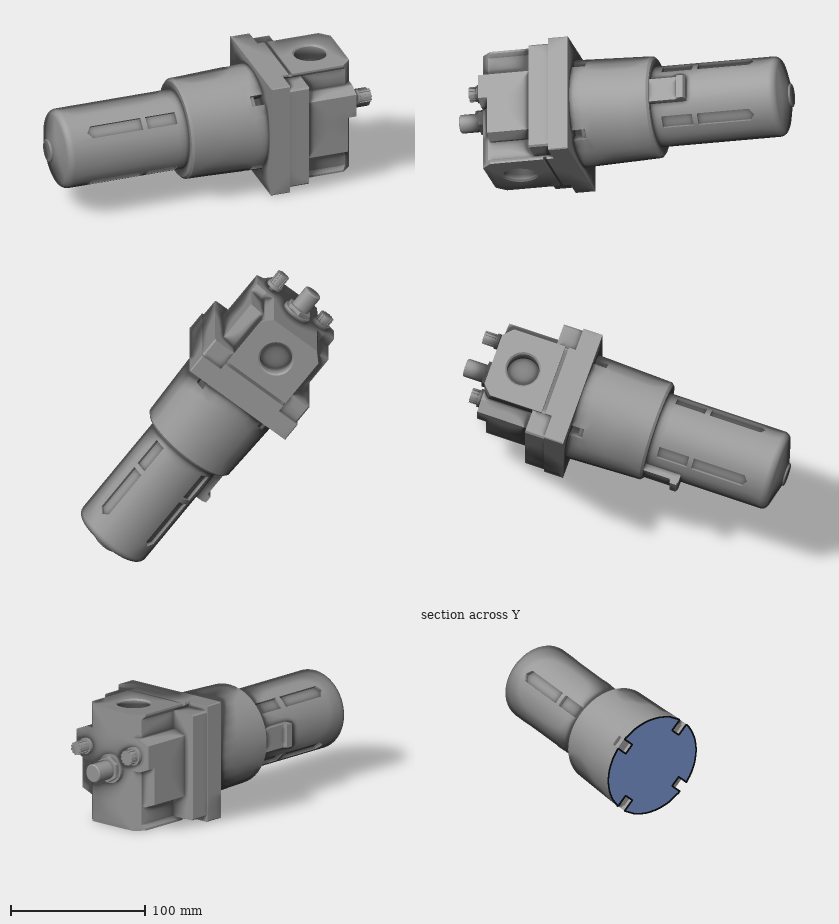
import cadquery as cq
import math


plate_size = 90.0
plate_thickness = 15.0
plate_bevel = 0.8
plate_rim = 0.8
collar_width = 89.0
collar_height = 81.8
collar_back = 30.2
collar_bevel = 1.3

body_back = 70.5
block_half_width = 25.0
lip_half_width = 27.2
lip_flare_height = 2.8
lip_edge = 1.5
block_corner_chamfer = 7.0
lip_groove_start = 20.3
lip_groove_width = 2.8
lip_groove_depth = 2.3

cheek_half_width = 36.3
cheek_half_height = 23.4
cheek_slope_rise = 3.5
cheek_back = 63.8
knob_pad_bottom = 5.0

port_diameter = 24.1
port_chamfer = 1.3
port_depth = 12.0
port_y = 47.0

bell_base_radius = 40.1
bell_end_radius = 38.0
bell_length = 59.7
bell_chamfer = 1.8
bell_notch_width = 8.1
bell_notch_depth = 10.2
bell_notch_length = 6.4
bell_ledge_depth = 3.3
bell_ledge_length = 10.0

bowl_diameter = 60.2
bowl_shoulder_y = -149.9
bowl_shoulder_bulge = 0.8
dome_edge_radius = 26.2
dome_edge_y = -155.0
dome_tip_y = -160.0
pin_diameter = 17.5
pin_bevel = 0.5
pin_end_y = -161.5

slot_width = 9.5
slot_floor_distance = 27.2
short_slot_start = -66.8
short_slot_end = -90.2
long_slot_start = -94.0
long_slot_end = -133.9
slot_point_length = 3.3

latch_width = 17.8
latch_arm_x = -34.3
latch_hook_x = -37.3
latch_hook_start = -81.3
latch_end = -87.5
latch_bevel = 1.0

dome_diameter = 14.0
dome_end = 92.5
dome_end_bevel = 0.8
hex_across_flats = 17.5
hex_end = 76.7
dome_flange_diameter = 22.0
flange_end = 73.7

knob_x = 22.9
knob_z = 13.7
low_knob_diameter = 11.5
low_knob_flange_diameter = 14.0
low_knob_end = 80.0
tall_knob_diameter = 10.2
tall_knob_flange_diameter = 12.0
tall_knob_flange_end = 76.2
tall_knob_stem_diameter = 5.0
tall_knob_end = 85.9
flute_count = 12
flute_width = 1.3
flute_depth = 0.8

plate_half = plate_size / 2
bowl_radius = bowl_diameter / 2
diagonals = (45, 135, 225, 315)


def section(y):
    """XZ sketch plane at the given Y."""
    return cq.Workplane("XZ", origin=(0, y, 0))


def bar(width, height, y_start, y_end):
    """Rectangular bar along Y, centred on the axis."""
    return section(y_start).rect(width, height).extrude(y_start - y_end)


def rod(diameter, y_start, y_end, x=0, z=0):
    """Round rod along Y."""
    return section(y_start).center(x, z).circle(diameter / 2).extrude(y_start - y_end)


def turn(solid, angle):
    """Solid turned about the main axis; a positive angle goes from +X to +Z."""
    return solid.rotate((0, 0, 0), (0, -1, 0), angle)


def plate_and_collar():
    rim = bar(plate_size, plate_size, 0, plate_rim)
    plate = bar(plate_size, plate_size, plate_rim, plate_thickness)
    plate = plate.edges("|Y").chamfer(plate_bevel).union(rim)
    collar = bar(collar_width, collar_height, plate_thickness, collar_back)
    return plate.union(collar.edges("|Y").chamfer(collar_bevel))


def port_block():
    lip_bottom = plate_half - lip_edge
    flare_bottom = lip_bottom - lip_flare_height
    block = (
        section(0)
        .moveTo(0, plate_half)
        .lineTo(lip_half_width, plate_half)
        .lineTo(lip_half_width, lip_bottom)
        .lineTo(block_half_width, flare_bottom)
        .lineTo(block_half_width, -flare_bottom)
        .lineTo(lip_half_width, -lip_bottom)
        .lineTo(lip_half_width, -plate_half)
        .lineTo(0, -plate_half)
        .mirrorY()
        .extrude(-body_back)
    )
    corner_envelope = (
        cq.Workplane("XY")
        .rect(2 * lip_half_width, 2 * body_back)
        .extrude(plate_half, both=True)
        .edges("|Z and >Y")
        .chamfer(block_corner_chamfer)
    )
    return block.intersect(corner_envelope)


def cheek(bottom, y_end):
    """Slab across both sides of the block, with shoulders sloping in to the lip width."""
    top = cheek_half_height
    outline = (
        section(plate_thickness)
        .moveTo(0, top + cheek_slope_rise)
        .lineTo(lip_half_width, top + cheek_slope_rise)
        .lineTo(cheek_half_width, top)
        .lineTo(cheek_half_width, bottom)
        .lineTo(lip_half_width, bottom - cheek_slope_rise)
        .lineTo(0, bottom - cheek_slope_rise)
        .mirrorY()
    )
    return outline.extrude(plate_thickness - y_end)


def lip_groove(side):
    """Groove across the port face between plate and block; side is +1 or -1 in Z."""
    return cq.Workplane("XY").box(
        2 * lip_half_width, lip_groove_width, 2 * lip_groove_depth
    ).translate((0, lip_groove_start + lip_groove_width / 2, side * plate_half))


def port(side):
    """Blind port with a chamfered mouth; side is +1 or -1 in Z."""
    radius = port_diameter / 2
    profile = (
        cq.Workplane("XZ")
        .moveTo(0, plate_half)
        .lineTo(radius + port_chamfer, plate_half)
        .lineTo(radius, plate_half - port_chamfer)
        .lineTo(radius, plate_half - port_depth)
        .lineTo(0, plate_half - port_depth)
        .close()
    )
    tool = profile.revolve(360, (0, 0, 0), (0, 1, 0))
    if side < 0:
        tool = tool.mirror("XY")
    return tool.translate((0, port_y, 0))


def bell_notch():
    """Deep notch next to the plate, with a shallow ledge further along, on the +X side."""
    deep = cq.Workplane("XY").box(
        bell_notch_depth, bell_notch_length, bell_notch_width, centered=(False, False, True)
    ).translate((bell_base_radius - bell_notch_depth, -bell_notch_length, 0))
    ledge = cq.Workplane("XY").box(
        bell_ledge_depth, bell_ledge_length, bell_notch_width, centered=(False, False, True)
    ).translate((bell_base_radius - bell_ledge_depth, -bell_ledge_length, 0))
    return deep.union(ledge)


def bell():
    solid = (
        cq.Workplane("XY")
        .lineTo(bell_base_radius, 0)
        .lineTo(bell_end_radius, bell_chamfer - bell_length)
        .lineTo(bell_end_radius - bell_chamfer, -bell_length)
        .lineTo(0, -bell_length)
        .close()
        .revolve(360, (0, 0, 0), (0, 1, 0))
    )
    for angle in diagonals:
        solid = solid.cut(turn(bell_notch(), angle))
    return solid


def sight_slots():
    """Short slot and pointed long slot, both cut from +X down to a flat floor."""
    half = slot_width / 2
    sketch = cq.Workplane("YZ", origin=(slot_floor_distance, 0, 0))
    depth = bowl_radius - slot_floor_distance
    short_slot = (
        sketch.moveTo(short_slot_start, -half)
        .lineTo(short_slot_end, -half)
        .lineTo(short_slot_end, half)
        .lineTo(short_slot_start, half)
        .close()
        .extrude(depth)
    )
    long_slot = (
        sketch.moveTo(long_slot_start, -half)
        .lineTo(long_slot_end, -half)
        .lineTo(long_slot_end - slot_point_length, 0)
        .lineTo(long_slot_end, half)
        .lineTo(long_slot_start, half)
        .close()
        .extrude(depth)
    )
    return short_slot.union(long_slot)


def bowl():
    shoulder_middle = (
        (bowl_radius + dome_edge_radius) / 2 + bowl_shoulder_bulge,
        (bowl_shoulder_y + dome_edge_y) / 2 - bowl_shoulder_bulge,
    )
    pin_radius = pin_diameter / 2
    solid = (
        cq.Workplane("XY")
        .moveTo(0, -bell_length)
        .lineTo(bowl_radius, -bell_length)
        .lineTo(bowl_radius, bowl_shoulder_y)
        .threePointArc(shoulder_middle, (dome_edge_radius, dome_edge_y))
        .lineTo(pin_radius, dome_tip_y)
        .lineTo(pin_radius, pin_end_y + pin_bevel)
        .lineTo(pin_radius - pin_bevel, pin_end_y)
        .lineTo(0, pin_end_y)
        .close()
        .revolve(360, (0, 0, 0), (0, 1, 0))
    )
    for angle in diagonals:
        solid = solid.cut(turn(sight_slots(), angle))
    return solid


def latch():
    """Flat arm on the -X side of the bowl, ending in an outward hook."""
    return (
        cq.Workplane("XY")
        .moveTo(-slot_floor_distance, -bell_length)
        .lineTo(latch_arm_x, -bell_length)
        .lineTo(latch_arm_x, latch_hook_start + latch_bevel)
        .lineTo(latch_arm_x - latch_bevel, latch_hook_start)
        .lineTo(latch_hook_x, latch_hook_start)
        .lineTo(latch_hook_x, latch_end + latch_bevel)
        .lineTo(latch_arm_x, latch_end)
        .lineTo(-slot_floor_distance, latch_end)
        .close()
        .extrude(latch_width / 2, both=True)
    )


def sight_dome():
    flange = rod(dome_flange_diameter, body_back, flange_end)
    hex_across_corners = hex_across_flats / math.cos(math.radians(30))
    hexagon = section(flange_end).polygon(6, hex_across_corners).extrude(flange_end - hex_end)
    dome = rod(dome_diameter, hex_end, dome_end).faces(">Y").chamfer(dome_end_bevel)
    return flange.union(turn(hexagon, 30)).union(dome)


def fluted_grip(diameter, y_start, y_end, x):
    """Knob grip with straight flutes along Y."""
    flutes = (
        section(y_start)
        .center(x, knob_z)
        .polarArray(diameter / 2, 0, 360, flute_count)
        .rect(2 * flute_depth, flute_width)
        .extrude(y_start - y_end)
    )
    return rod(diameter, y_start, y_end, x, knob_z).cut(flutes)


def low_knob():
    flange = rod(low_knob_flange_diameter, body_back, flange_end, -knob_x, knob_z)
    return flange.union(fluted_grip(low_knob_diameter, flange_end, low_knob_end, -knob_x))


def tall_knob():
    stem = rod(tall_knob_stem_diameter, body_back, flange_end, knob_x, knob_z)
    flange = rod(tall_knob_flange_diameter, flange_end, tall_knob_flange_end, knob_x, knob_z)
    grip = fluted_grip(tall_knob_diameter, tall_knob_flange_end, tall_knob_end, knob_x)
    return stem.union(flange).union(grip)


body = plate_and_collar().union(port_block())
body = body.union(cheek(-cheek_half_height, cheek_back))
body = body.union(cheek(knob_pad_bottom, body_back))
for port_side in (1, -1):
    body = body.cut(lip_groove(port_side)).cut(port(port_side))

result = body.union(bell()).union(bowl()).union(latch())
result = result.union(sight_dome()).union(low_knob()).union(tall_knob())